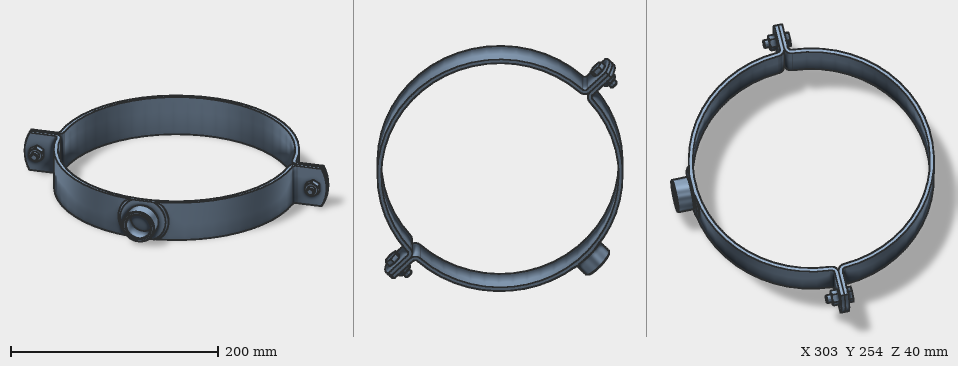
import cadquery as cq
import math

overall_length = 303.0
band_height = 40.0
band_thickness = 4.0
ring_radius = 118.5
bend_radius = 3.3
lug_end_rise = 4.8

pad_radius = 25.0
pad_chamfer_width = 2.5
pad_chamfer_depth = 1.5

socket_diameter = 32.0
socket_bore = 24.5
socket_length = 17.0
socket_chamfer = 1.0
socket_foot_chamfer = 1.5

bolt_offset = 138.5
bolt_diameter = 8.0
bolt_chamfer = 1.0
bolt_protrusion = 5.5
hex_across_flats = 13.0
head_height = 5.5
nut_height = 7.0
nut_chamfer_angle = 45.0
nut_turn = 30.0
head_turns = {-1: 0.0, 1: 30.0}

half_length = overall_length / 2
half_height = band_height / 2
inner_radius = ring_radius - band_thickness
bend_outer_radius = bend_radius + band_thickness
hex_corner_diameter = hex_across_flats / math.cos(math.pi / 6)

bend_distance = ring_radius + bend_radius
bend_y = band_thickness + bend_radius
bend_angle = math.asin(bend_y / bend_distance)
bend_x = bend_distance * math.cos(bend_angle)


def ring_point(radius):
    """Point on the ring where the right-hand bend begins."""
    return radius * math.cos(bend_angle), radius * math.sin(bend_angle)


def bend_middle(radius):
    """Middle of a right-hand bend arc, halfway between straight down and towards the ring centre."""
    angle = (3 * math.pi / 2 + math.pi + bend_angle) / 2
    return bend_x + radius * math.cos(angle), bend_y + radius * math.sin(angle)


def mirrored(point):
    """Matching point on the left-hand side."""
    return -point[0], point[1]


def band_envelope():
    """Solid of the full clamp height with curved ends, which bounds both band halves."""
    corner_x = half_length - lug_end_rise
    return (
        cq.Workplane("XZ")
        .moveTo(-corner_x, -half_height)
        .lineTo(corner_x, -half_height)
        .threePointArc((half_length, 0), (corner_x, half_height))
        .lineTo(-corner_x, half_height)
        .threePointArc((-half_length, 0), (-corner_x, -half_height))
        .close()
        .extrude(ring_radius, both=True)
    )


def make_half_band():
    """Rear half of the clamp: half ring, two bends and two drilled lugs."""
    strip = (
        cq.Workplane("XY", origin=(0, 0, -half_height))
        .moveTo(half_length, band_thickness)
        .lineTo(bend_x, band_thickness)
        .threePointArc(bend_middle(bend_radius), ring_point(ring_radius))
        .threePointArc((0, ring_radius), mirrored(ring_point(ring_radius)))
        .threePointArc(mirrored(bend_middle(bend_radius)), (-bend_x, band_thickness))
        .lineTo(-half_length, band_thickness)
        .lineTo(-half_length, 0)
        .lineTo(-bend_x, 0)
        .threePointArc(mirrored(bend_middle(bend_outer_radius)), mirrored(ring_point(inner_radius)))
        .threePointArc((0, inner_radius), ring_point(inner_radius))
        .threePointArc(bend_middle(bend_outer_radius), (bend_x, 0))
        .lineTo(half_length, 0)
        .close()
        .extrude(band_height)
    )
    bolt_holes = (
        cq.Workplane("XZ")
        .pushPoints([(-bolt_offset, 0), (bolt_offset, 0)])
        .circle(bolt_diameter / 2)
        .extrude(-band_thickness)
    )
    return strip.intersect(band_envelope()).cut(bolt_holes)


def make_pad():
    """Chamfered disc, trimmed to the band height."""
    disc = (
        cq.Workplane("XY")
        .lineTo(pad_radius, 0)
        .lineTo(pad_radius, -(band_thickness - pad_chamfer_depth))
        .lineTo(pad_radius - pad_chamfer_width, -band_thickness)
        .lineTo(0, -band_thickness)
        .close()
        .revolve(360, (0, 0), (0, 1))
        .translate((0, -inner_radius, 0))
    )
    return disc.intersect(band_envelope())


def make_front_band():
    """Front half of the clamp: the mirrored half band, with the pad."""
    return make_half_band().mirror("XZ").union(make_pad())


def make_socket():
    """Open tube, chamfered at its foot, at its outer rim and inside its mouth."""
    base = cq.Workplane("XZ", origin=(0, -ring_radius, 0))
    barrel = (
        base.circle(socket_diameter / 2)
        .extrude(socket_length)
        .faces("<Y")
        .chamfer(socket_chamfer)
        .faces(">Y")
        .chamfer(socket_foot_chamfer)
    )
    bore = base.circle(socket_bore / 2).extrude(socket_length)
    mouth = (
        base.workplane(offset=socket_length - socket_chamfer)
        .circle(socket_bore / 2)
        .workplane(offset=socket_chamfer)
        .circle(socket_bore / 2 + socket_chamfer)
        .loft()
    )
    return barrel.cut(bore).cut(mouth)


def make_bolt(side):
    """Hex bolt whose head rests on the rear lug and whose shank points forward."""
    head = (
        cq.Workplane("XZ", origin=(0, band_thickness, 0))
        .polygon(6, hex_corner_diameter)
        .extrude(-head_height)
        .rotate((0, 0, 0), (0, 1, 0), head_turns[side])
    )
    shank = (
        cq.Workplane("XZ", origin=(0, band_thickness, 0))
        .circle(bolt_diameter / 2)
        .extrude(2 * band_thickness + nut_height + bolt_protrusion)
        .faces("<Y")
        .chamfer(bolt_chamfer)
    )
    return head.union(shank).translate((side * bolt_offset, 0, 0))


def make_nut(side):
    """Hex nut on the front lug, its outer corners cut back by a cone."""
    prism = (
        cq.Workplane("XZ")
        .polygon(6, hex_corner_diameter)
        .extrude(nut_height)
        .rotate((0, 0, 0), (0, 1, 0), nut_turn)
    )
    flat_radius = hex_across_flats / 2
    corner_radius = hex_corner_diameter / 2
    corner_drop = (corner_radius - flat_radius) * math.tan(math.radians(nut_chamfer_angle))
    envelope = (
        cq.Workplane("XY")
        .lineTo(corner_radius, 0)
        .lineTo(corner_radius, corner_drop - nut_height)
        .lineTo(flat_radius, -nut_height)
        .lineTo(0, -nut_height)
        .close()
        .revolve(360, (0, 0), (0, 1))
    )
    hole = cq.Workplane("XZ").circle(bolt_diameter / 2).extrude(nut_height)
    nut = prism.intersect(envelope).cut(hole)
    return nut.translate((side * bolt_offset, -band_thickness, 0))


rear_band = make_half_band()
front_band = make_front_band()
socket = make_socket()
bolts = [make_bolt(side) for side in head_turns]
nuts = [make_nut(side) for side in head_turns]

result = cq.Compound.makeCompound(
    [
        rear_band.val(),
        front_band.val(),
        socket.val(),
        *[bolt.val() for bolt in bolts],
        *[nut.val() for nut in nuts],
    ]
)